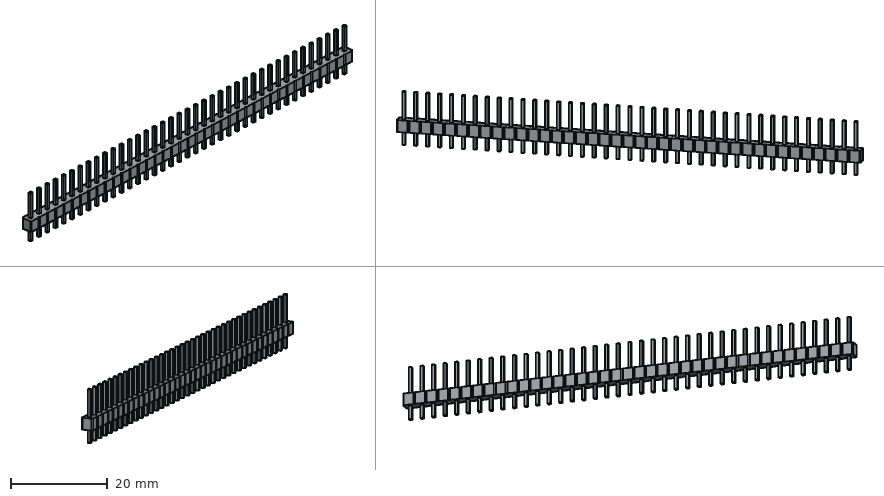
import cadquery as cq

pin_count = 39
pitch = 2.54

body_width = pitch
body_height = 2.54
body_chamfer = pitch / 10

pin_width = 0.64
pin_above_body = 6.0
pin_below_body = 3.0
pin_length = pin_below_body + body_height + pin_above_body
tip_chamfer = pin_width / 4

pin_positions = [(0, -index * pitch) for index in range(pin_count)]


def make_body():
    """Plastic strip along Y with a V notch on both sides between neighbouring pins."""
    half_width = body_width / 2
    half_pitch = pitch / 2
    notch_x = half_width - body_chamfer
    flank_reach = half_pitch - body_chamfer
    right_side = [(notch_x, half_pitch)]
    for _, pin_y in pin_positions:
        right_side.append((half_width, pin_y + flank_reach))
        right_side.append((half_width, pin_y - flank_reach))
        right_side.append((notch_x, pin_y - half_pitch))
    left_side = [(-x, y) for x, y in reversed(right_side)]
    return cq.Workplane("XY").polyline(right_side + left_side).close().extrude(body_height)


def make_pins():
    """Row of square pins with all edges of both tips chamfered."""
    return (
        cq.Workplane("XY", origin=(0, 0, -pin_below_body))
        .pushPoints(pin_positions)
        .rect(pin_width, pin_width)
        .extrude(pin_length)
        .faces("<Z or >Z")
        .chamfer(tip_chamfer)
    )


result = make_body().union(make_pins())